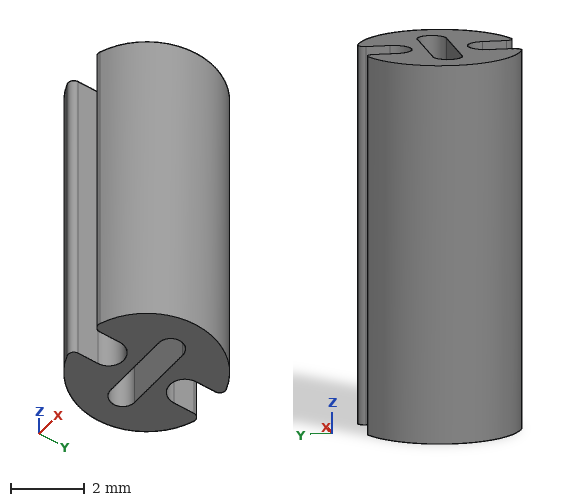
import cadquery as cq

length = 10.5
diameter = 4.49
groove_width = 1.0
groove_floor = 0.78
lip_radius = 0.19
bore_length = 3.0
bore_width = 0.8

groove_radius = groove_width / 2
groove_center = groove_floor + groove_radius
outer_radius = diameter / 2


def groove_cutter(side):
    """Round-bottomed groove open to the +Y (side=1) or -Y (side=-1) face."""
    straight = (
        cq.Workplane("XY")
        .center(0, side * (groove_center + outer_radius / 2))
        .rect(groove_width, outer_radius)
        .extrude(length)
    )
    floor = cq.Workplane("XY").center(0, side * groove_center).circle(groove_radius).extrude(length)
    return straight.union(floor)


body = cq.Workplane("XY").circle(outer_radius).extrude(length)
for side in (1, -1):
    body = body.cut(groove_cutter(side))

for lip_side in (">Y", "<Y"):
    body = body.edges("|Z").edges(lip_side).fillet(lip_radius)

bore = cq.Workplane("XY").slot2D(bore_length, bore_width).extrude(length)
result = body.cut(bore)